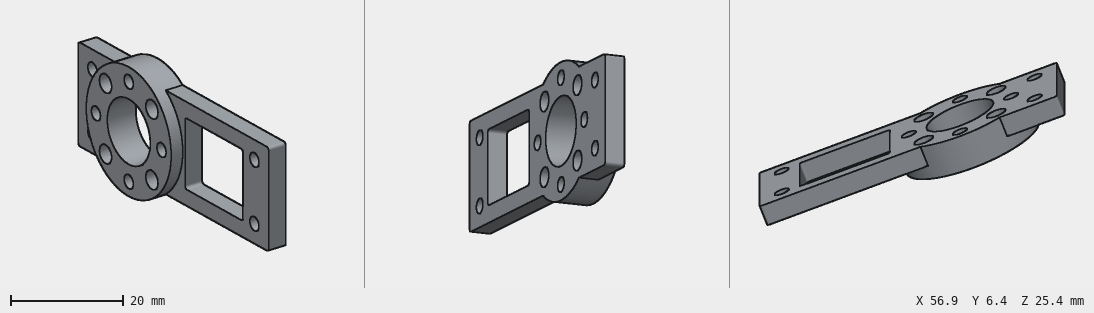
import cadquery as cq

plate_length = 56.9
plate_height = 20.35
plate_thickness = 3.8
plate_corner_radius = 0.55

hub_diameter = 25.4
hub_thickness = 6.4
hub_x = 18.55 - plate_length / 2
bore_diameter = 12.8

bolt_circle_diameter = 19.6
small_hole_diameter = 2.75
large_hole_diameter = 3.65

end_hole_diameter = 2.75
end_hole_inset = 4.25
end_hole_spacing = 12.5

window_length = 17.3
window_height = 13.95
window_corner_radius = 0.55
window_x = 40.55 - plate_length / 2


def front_plane(x=0):
    """Workplane on the back face; extrusions from it run toward -Y."""
    return cq.Workplane("XZ", origin=(x, 0, 0))


def rounded_block(x, length, height, thickness, radius):
    block = front_plane(x).rect(length, height).extrude(thickness)
    return block.edges("|Y").fillet(radius)


def bolt_holes(diameter, start_angle):
    return (
        front_plane(hub_x)
        .polarArray(bolt_circle_diameter / 2, start_angle, 360, 4)
        .circle(diameter / 2)
        .extrude(hub_thickness)
    )


plate = rounded_block(0, plate_length, plate_height, plate_thickness, plate_corner_radius)
hub = front_plane(hub_x).circle(hub_diameter / 2).extrude(hub_thickness)
body = plate.union(hub)

bore = front_plane(hub_x).circle(bore_diameter / 2).extrude(hub_thickness)
window = rounded_block(window_x, window_length, window_height, plate_thickness, window_corner_radius)
end_holes = (
    front_plane()
    .rect(plate_length - 2 * end_hole_inset, end_hole_spacing, forConstruction=True)
    .vertices()
    .circle(end_hole_diameter / 2)
    .extrude(plate_thickness)
)

result = (
    body.cut(bore)
    .cut(window)
    .cut(end_holes)
    .cut(bolt_holes(small_hole_diameter, 0))
    .cut(bolt_holes(large_hole_diameter, 45))
)